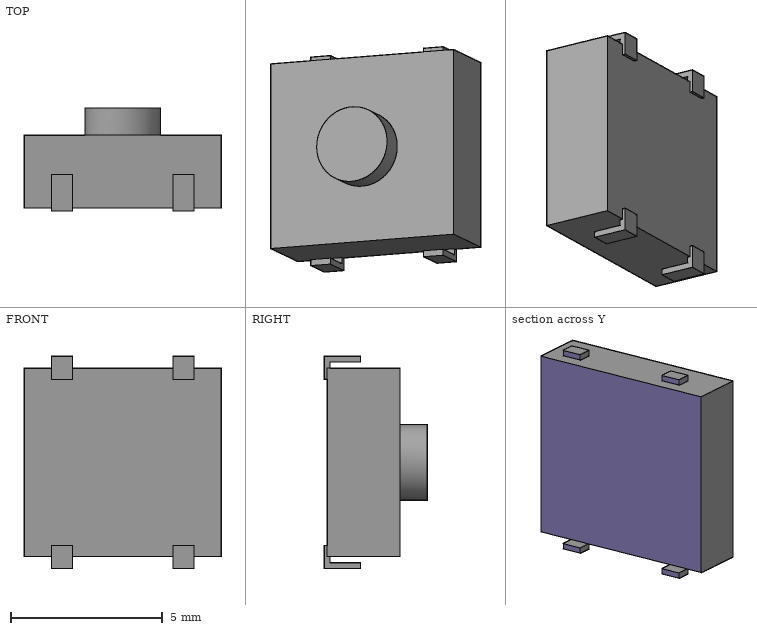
import cadquery as cq

body_width = 6.5
body_depth = 2.4
body_height = 6.2

button_diameter = 2.5
button_projection = 0.9

lead_width = 0.7
lead_thickness = 0.2
lead_pitch = 4.0
lead_span = 7.0
lead_depth = 1.2
lead_standoff = 0.1
lead_foot_height = 0.77

lead_front = -lead_standoff
lead_outer = lead_span / 2


def make_body():
    """Rectangular housing, centred in X and Z."""
    return cq.Workplane("XY").box(
        body_width, body_depth, body_height, centered=(True, False, True)
    )


def make_button():
    """Round plunger standing on the middle of the +Y face."""
    return (
        cq.Workplane("XZ", origin=(0, body_depth, 0))
        .circle(button_diameter / 2)
        .extrude(-button_projection)
    )


def make_upper_lead(x_centre):
    """L-shaped lead: a foot partly sunk in the -Y face and a leg running back over the body."""
    foot_back = lead_front + lead_thickness
    leg_back = lead_front + lead_depth
    leg_inner = lead_outer - lead_thickness
    foot_end = lead_outer - lead_foot_height
    return (
        cq.Workplane("YZ", origin=(x_centre, 0, 0))
        .moveTo(lead_front, lead_outer)
        .lineTo(leg_back, lead_outer)
        .lineTo(leg_back, leg_inner)
        .lineTo(foot_back, leg_inner)
        .lineTo(foot_back, foot_end)
        .lineTo(lead_front, foot_end)
        .close()
        .extrude(lead_width / 2, both=True)
    )


result = make_body().union(make_button())
for x_centre in (-lead_pitch / 2, lead_pitch / 2):
    upper_lead = make_upper_lead(x_centre)
    lower_lead = upper_lead.mirror("XY")
    result = result.union(upper_lead).union(lower_lead)